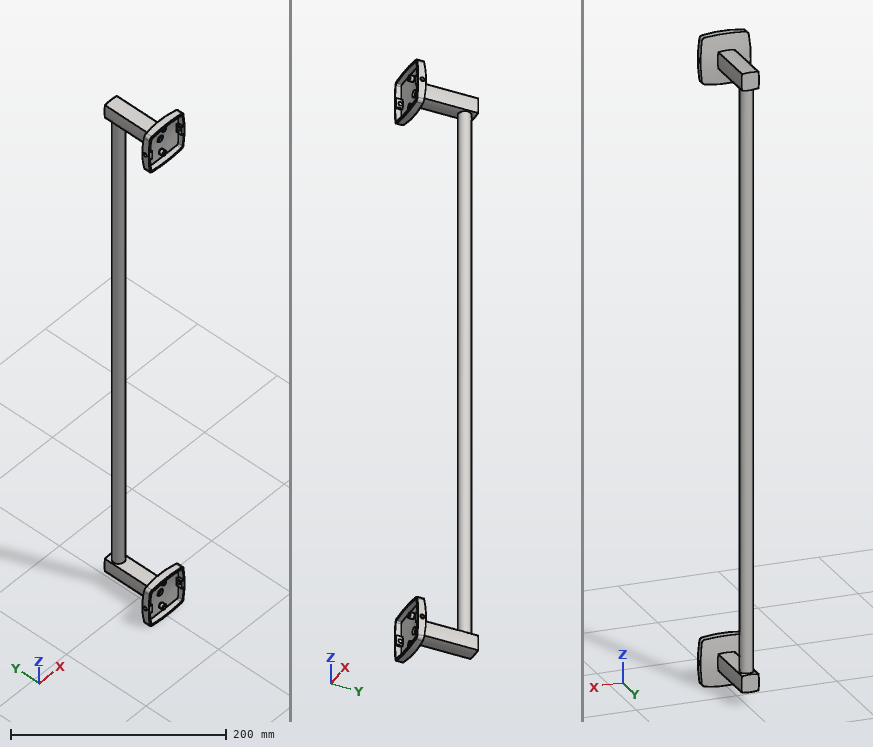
import cadquery as cq

plate_spacing = 600.0
reach = 70.5

plate_width = 50.0
plate_bow = 2.0
plate_corner_radius = 4.0
plate_thickness = 10.5
back_chamfer = 0.4
dome_radius = 150.0
wall = 2.0
shell_depth = 8.3

fixing_hole_diameter = 7.5
boss_offset = 16.0
boss_diameter = 6.0
boss_hole_diameter = 4.2
boss_height = 5.0
pad_width = 10.0
pad_reach = 4.5
set_screw_diameter = 4.2
set_screw_y = 4.5
set_screw_depth = 4.0

post_width = 17.8
post_bow = 0.7
bar_diameter = 13.0
socket_diameter = 13.2
socket_depth = 6.0
bar_end_margin = 10.0

bar_y = reach - bar_end_margin


def bowed_square(width, bow, length):
    """Square block from Y = 0 along +Y whose four sides bow outward as arcs; `width` is taken at mid-side."""
    side = width / 2
    corner = side - bow
    return (
        cq.Workplane("XZ")
        .moveTo(-corner, -corner)
        .threePointArc((0, -side), (corner, -corner))
        .threePointArc((side, 0), (corner, corner))
        .threePointArc((0, side), (-corner, corner))
        .threePointArc((-side, 0), (-corner, -corner))
        .close()
        .extrude(-length)
    )


def dome(apex_y):
    """Ball whose front pole lies on the Y axis at `apex_y`."""
    return cq.Workplane("XY").sphere(dome_radius).translate((0, apex_y - dome_radius, 0))


def cylinder_along_y(diameter, z, start_y, end_y):
    """Round cylinder from `start_y` to `end_y` with its axis at X = 0 and height `z`."""
    return (
        cq.Workplane("XZ", origin=(0, start_y, z))
        .circle(diameter / 2)
        .extrude(start_y - end_y)
    )


def make_plate():
    outline = bowed_square(plate_width, plate_bow, plate_thickness)
    outline = outline.edges("|Y").fillet(plate_corner_radius)
    plate = outline.intersect(dome(plate_thickness))
    plate = plate.faces("<Y").chamfer(back_chamfer)

    cavity = bowed_square(plate_width - 2 * wall, plate_bow, plate_thickness)
    cavity = cavity.edges("|Y").fillet(plate_corner_radius - wall)
    cavity = cavity.intersect(dome(shell_depth))

    pad_centre = plate_width / 2 - pad_reach / 2
    for side in (-1, 1):
        pad = cq.Workplane("XY").box(pad_reach, 2 * plate_thickness, pad_width)
        cavity = cavity.cut(pad.translate((side * pad_centre, 0, 0)))

    for z in (-boss_offset, boss_offset):
        boss = cylinder_along_y(boss_diameter, z, shell_depth - boss_height, plate_thickness)
        bore = cylinder_along_y(boss_hole_diameter, z, 0, shell_depth)
        cavity = cavity.cut(boss.cut(bore))

    plate = plate.cut(cavity)
    plate = plate.cut(cylinder_along_y(fixing_hole_diameter, 0, 0, plate_thickness))
    for side in (-1, 1):
        set_screw_hole = (
            cq.Workplane("YZ", origin=(side * plate_width / 2, set_screw_y, 0))
            .circle(set_screw_diameter / 2)
            .extrude(-side * set_screw_depth)
        )
        plate = plate.cut(set_screw_hole)
    return plate


def make_post(bar_side):
    """Post whose socket opens toward +Z (bar_side = 1) or -Z (bar_side = -1)."""
    post = bowed_square(post_width, post_bow, reach).cut(dome(plate_thickness))
    socket_floor = post_width / 2 - socket_depth
    socket = (
        cq.Workplane("XY", origin=(0, bar_y, bar_side * socket_floor))
        .circle(socket_diameter / 2)
        .extrude(bar_side * post_width)
    )
    return post.cut(socket)


bar_length = plate_spacing - post_width + 2 * socket_depth
bar = (
    cq.Workplane("XY", origin=(0, bar_y, -bar_length / 2))
    .circle(bar_diameter / 2)
    .extrude(bar_length)
)

bodies = [bar.val()]
for end in (-1, 1):
    end_centre = (0, 0, end * plate_spacing / 2)
    bodies.append(make_plate().translate(end_centre).val())
    bodies.append(make_post(-end).translate(end_centre).val())

result = cq.Compound.makeCompound(bodies)